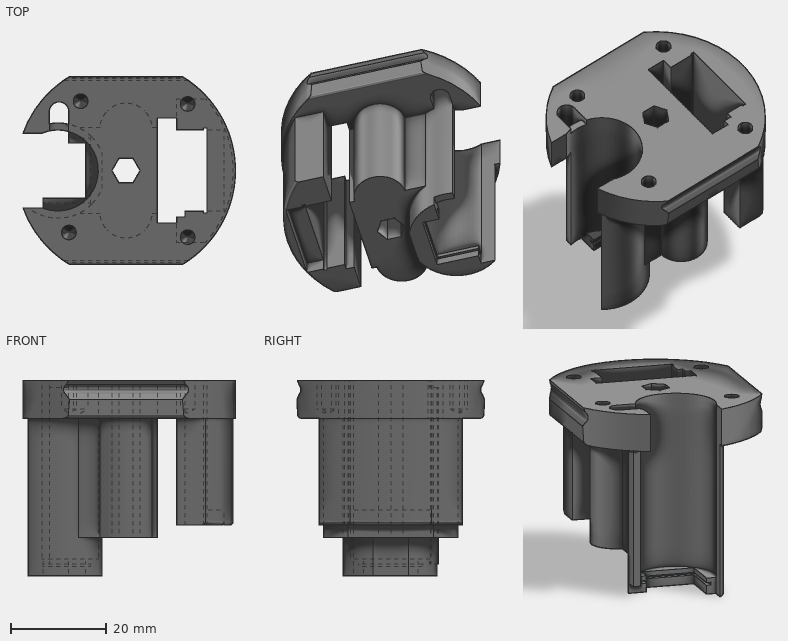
import cadquery as cq
import math


PLATE_RADIUS = 22.97
PLATE_BOTTOM = -8.0
HOLE_DIAMETER = 3.1
HOLE_DEPTH = 6.0
TIP_ANGLE = 118.0
HOLE_POSITIONS = [(-9.5, 14.55), (-11.95, -13.0), (12.95, 13.95), (12.95, -13.95)]
HEX_FLATS = 5.1

SIDE_TOP_Y = 19.6
GROOVE_START = (19.25, -0.9)
GROOVE_DEEPEST = (18.85, -1.95)
GROOVE_END = (19.23, -3.0)
SIDE_LIP = (19.695, -4.05)
SIDE_ROUND_START = (19.55, -7.05)
SIDE_ROUND_MIDDLE = (19.3, -7.7)
SIDE_ROUND_END = (18.75, PLATE_BOTTOM)

TUBE_X = -14.28
BORE_RADIUS = 8.48
TUBE_RADIUS = 10.0
TUBE_BOTTOM = -41.0
TUBE_FLAT_X = -5.0
MOUTH_X = -17.45
MOUTH_HALF_WIDTH = 7.8
FLOOR_TOP = TUBE_BOTTOM + 3.5

WINDOW_HALF_WIDTH = 5.75
WINDOW_END_X = -8.48
CONTACT_SLOT_DEPTH = 1.03
CONTACT_SLOT_TOP = TUBE_BOTTOM + 2.5
CONTACT_SLOT_BOTTOM = CONTACT_SLOT_TOP - 0.6

WIRE_X_MIN = -16.05
WIRE_X_MAX = -12.0
WIRE_END_Y = 14.35
WIRE_RADIUS = (WIRE_X_MAX - WIRE_X_MIN) / 2
WIRE_SADDLE_Z = -1.45
WIRE_EXIT_TOP = CONTACT_SLOT_TOP

POCKET_X_MIN = 6.55
POCKET_X_STEP = 10.6
POCKET_X_MAX = 16.95
POCKET_WIDE_Y = 10.97
POCKET_NARROW_Y = 8.5
POCKET_STEP_X = 12.35
POCKET_STEP_Y = 9.72
POCKET_RELIEF_X = 16.25
POCKET_RELIEF_Y = 8.88

SHROUD_RADIUS = 22.5
SHROUD_HALF_WIDTH = 15.05
SHROUD_BOTTOM = -30.4
SHROUD_EDGE_RADIUS = 0.9
RECESS_X_MAX = 20.5
RECESS_TOP = SHROUD_BOTTOM + 3.2

HUB_HALF_WIDTH = 9.0
HUB_BOTTOM = -33.0
HUB_BOSS_Y = 8.65
HUB_BOSS_RADIUS = 5.5

BEYOND = 53.55


def block(x_min, x_max, y_min, y_max, z_min, z_max):
    """Box given by its limits along each axis."""
    size = (x_max - x_min, y_max - y_min, z_max - z_min)
    return cq.Workplane("XY").box(*size, centered=False).translate((x_min, y_min, z_min))


def cylinder(x, y, radius, z_min, z_max):
    """Upright cylinder between two levels."""
    return cq.Workplane("XY", origin=(x, y, z_min)).circle(radius).extrude(z_max - z_min)


def plate():
    """Round plate with two grooved flat sides."""
    half = (
        cq.Workplane("YZ")
        .lineTo(SIDE_TOP_Y, 0)
        .lineTo(*GROOVE_START)
        .threePointArc(GROOVE_DEEPEST, GROOVE_END)
        .lineTo(*SIDE_LIP)
        .lineTo(*SIDE_ROUND_START)
        .threePointArc(SIDE_ROUND_MIDDLE, SIDE_ROUND_END)
        .lineTo(0, PLATE_BOTTOM)
        .close()
        .extrude(BEYOND, both=True)
    )
    disc = cylinder(0, 0, PLATE_RADIUS, PLATE_BOTTOM, 0)
    return half.union(half.mirror("XZ")).intersect(disc)


def tube():
    """Solid outside of the battery tube, with a flat toward the hub."""
    outside = cylinder(TUBE_X, 0, TUBE_RADIUS, TUBE_BOTTOM, PLATE_BOTTOM)
    return outside.cut(block(TUBE_FLAT_X, BEYOND, -BEYOND, BEYOND, TUBE_BOTTOM, PLATE_BOTTOM))


def hub():
    """Block joining the tube to the pocket, with a round boss on each side."""
    body = block(TUBE_X, POCKET_X_MIN, -HUB_HALF_WIDTH, HUB_HALF_WIDTH, HUB_BOTTOM, PLATE_BOTTOM)
    for y in (-HUB_BOSS_Y, HUB_BOSS_Y):
        body = body.union(cylinder(0, y, HUB_BOSS_RADIUS, HUB_BOTTOM, PLATE_BOTTOM))
    return body


def shroud():
    """Wall with a rounded outside and two legs, recessed at its inner lower edge."""
    rim = cylinder(0, 0, SHROUD_RADIUS, SHROUD_BOTTOM, PLATE_BOTTOM)
    rim = rim.faces("<Z").edges().fillet(SHROUD_EDGE_RADIUS)
    limits = block(POCKET_X_STEP, BEYOND, -SHROUD_HALF_WIDTH, SHROUD_HALF_WIDTH, SHROUD_BOTTOM, PLATE_BOTTOM)
    recess = block(POCKET_X_STEP, RECESS_X_MAX, -POCKET_NARROW_Y, POCKET_NARROW_Y, SHROUD_BOTTOM, RECESS_TOP)
    return rim.intersect(limits).cut(recess)


def tube_bore():
    """Battery bore with its side mouth."""
    bore = cylinder(TUBE_X, 0, BORE_RADIUS, FLOOR_TOP, 0)
    mouth = block(-BEYOND, MOUTH_X, -MOUTH_HALF_WIDTH, MOUTH_HALF_WIDTH, TUBE_BOTTOM, 0)
    return bore.union(mouth)


def floor_window():
    """Opening in the tube floor and the contact slot around it."""
    window = block(-BEYOND, WINDOW_END_X, -WINDOW_HALF_WIDTH, WINDOW_HALF_WIDTH, TUBE_BOTTOM, FLOOR_TOP)
    slot_half_width = WINDOW_HALF_WIDTH + CONTACT_SLOT_DEPTH
    slot = block(-BEYOND, WINDOW_END_X + CONTACT_SLOT_DEPTH, -slot_half_width, slot_half_width,
                 CONTACT_SLOT_BOTTOM, CONTACT_SLOT_TOP)
    return window.union(slot)


def wire_channel():
    """Slot in the plate, side opening of the tube and wire exit at its floor."""
    round_end_y = WIRE_END_Y - WIRE_RADIUS
    plate_slot = block(WIRE_X_MIN, WIRE_X_MAX, 0, round_end_y, PLATE_BOTTOM, 0)
    slot_end_x = (WIRE_X_MIN + WIRE_X_MAX) / 2
    plate_slot = plate_slot.union(cylinder(slot_end_x, round_end_y, WIRE_RADIUS, PLATE_BOTTOM, 0))
    plate_slot = plate_slot.cut(cylinder(TUBE_X, 0, TUBE_RADIUS, PLATE_BOTTOM, WIRE_SADDLE_Z))

    side_opening = block(-BEYOND, WIRE_X_MIN, 0, BEYOND, TUBE_BOTTOM, PLATE_BOTTOM)
    wall_exit = block(-BEYOND, WIRE_X_MAX, 0, BEYOND, TUBE_BOTTOM, WIRE_EXIT_TOP)
    floor_exit = block(-BEYOND, WIRE_X_MAX, 0, BEYOND, TUBE_BOTTOM, FLOOR_TOP)
    floor_exit = floor_exit.intersect(cylinder(TUBE_X, 0, BORE_RADIUS, TUBE_BOTTOM, FLOOR_TOP))
    return [plate_slot, side_opening, wall_exit, floor_exit]


def pocket():
    """Stepped opening through the plate and between the legs of the shroud."""
    depth = -SHROUD_BOTTOM
    wide = block(POCKET_X_MIN, POCKET_X_STEP, -POCKET_WIDE_Y, POCKET_WIDE_Y, -depth, 0)
    narrow = block(POCKET_X_STEP, POCKET_X_MAX, -POCKET_NARROW_Y, POCKET_NARROW_Y, -depth, 0)
    relief = block(POCKET_RELIEF_X, POCKET_X_MAX, -POCKET_RELIEF_Y, POCKET_RELIEF_Y, -depth, 0)
    step = block(POCKET_X_STEP, POCKET_STEP_X, -POCKET_STEP_Y, 0, -depth, 0)
    return wide.union(narrow).union(relief).union(step)


def hex_hole():
    """Hexagonal through hole, corners on the X axis."""
    corner_diameter = HEX_FLATS / math.cos(math.pi / 6)
    return cq.Workplane("XY").polygon(6, corner_diameter).extrude(HUB_BOTTOM)


def screw_hole(x, y):
    """Blind drilled hole with a conical tip."""
    radius = HOLE_DIAMETER / 2
    tip_depth = HOLE_DEPTH + radius / math.tan(math.radians(TIP_ANGLE / 2))
    drill = (
        cq.Workplane("XZ")
        .polyline([(0, 0), (radius, 0), (radius, -HOLE_DEPTH), (0, -tip_depth)])
        .close()
        .revolve(360, (0, 0, 0), (0, 1, 0))
    )
    return drill.translate((x, y, 0))


def make_housing():
    """Plate, battery tube, hub and shroud as one solid."""
    body = plate().union(tube()).union(hub()).union(shroud())
    cuts = [tube_bore(), floor_window(), *wire_channel(), pocket(), hex_hole()]
    for x, y in HOLE_POSITIONS:
        cuts.append(screw_hole(x, y))
    for cut in cuts:
        body = body.cut(cut)
    return body


housing = make_housing()
result = cq.Compound.makeCompound([*housing.solids().vals()])